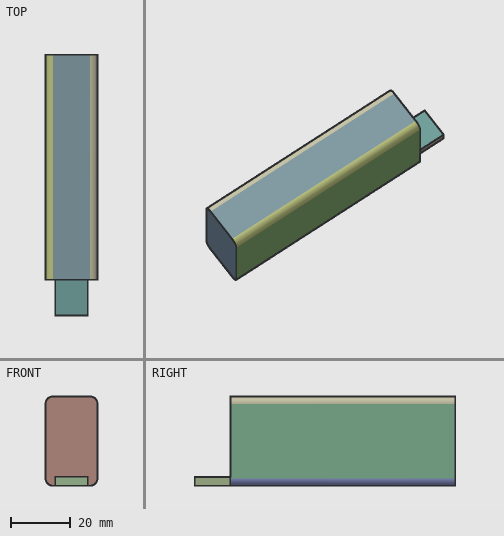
import cadquery as cq

total_length = 87.5
body_width = 17.5
body_height = 30.0
edge_radius = 2.5

tongue_length = 12.0
tongue_width = 11.0
tongue_thickness = 3.0

body_length = total_length - tongue_length


def make_body():
    """Long block with its four lengthwise edges rounded; its -Y end lies at Y = 0."""
    block = cq.Workplane("XY").box(body_width, body_length, body_height, centered=(True, False, False))
    return block.edges("|Y").fillet(edge_radius)


def make_tongue():
    """Flat plate reaching from the body's end face toward -Y."""
    plate = cq.Workplane("XY").box(tongue_width, tongue_length, tongue_thickness, centered=(True, False, False))
    return plate.translate((0, -tongue_length, 0))


result = make_body().union(make_tongue())